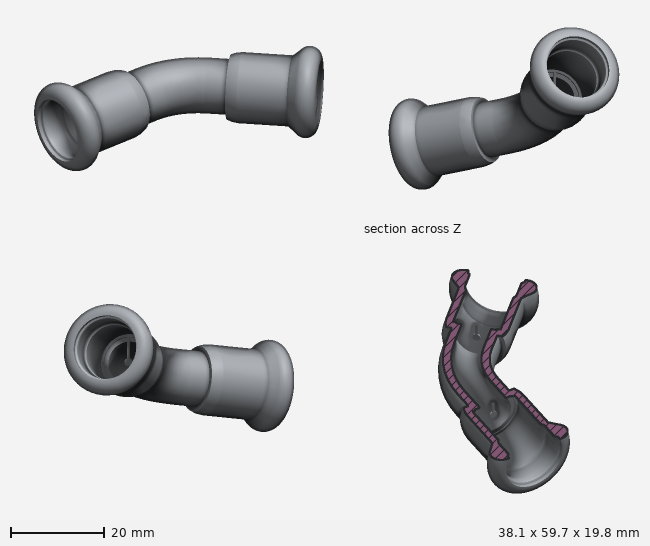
import cadquery as cq
import math

BEND_ANGLE = 45.0
BEND_RADIUS = 17.8
LEG_LENGTH = 24.1

TUBE_RADIUS = 12.0 / 2
TUBE_BORE_RADIUS = 9.0 / 2

BEAD_TUBE_RADIUS = 2.55
BEAD_RADIUS = 19.8 / 2
BEAD_ROUND_END = 4.2
BEAD_END = 6.2
BODY_RADIUS = 15.3 / 2
BODY_STRAIGHT_END = 17.0
SOCKET_LENGTH = 19.5
SOCKET_TIP_RADIUS = 7.05

MOUTH_RADIUS = 14.0 / 2
MOUTH_DEPTH = 0.9
LIP_RADIUS = 6.6
LIP_DEPTH = 1.15
ENTRY_RADIUS = 13.0 / 2
ENTRY_START = 1.8
ENTRY_END = 5.4
PIPE_BORE_RADIUS = 12.2 / 2
PIPE_BORE_START = 6.3
PIPE_STOP_DEPTH = 17.3
RECESS_RADIUS = 11.0 / 2
RECESS_DEPTH = 0.3

MARKER_DISC_RADIUS = 0.865
MARKER_STEM_WIDTH = 0.6
MARKER_THICKNESS = RECESS_DEPTH

RECESS_END = PIPE_STOP_DEPTH + RECESS_DEPTH


def tangent_arc_middle(radius_start, radius_end, depth_start, depth_end):
    """Middle of an arc that leaves radius_start parallel to the axis."""
    drop = radius_start - radius_end
    length = depth_end - depth_start
    arc_radius = (length**2 + drop**2) / (2 * drop)
    half_angle = math.asin(length / arc_radius) / 2
    return (
        radius_start - arc_radius * (1 - math.cos(half_angle)),
        depth_start + arc_radius * math.sin(half_angle),
    )


def revolve_about_y(profile):
    return profile.close().revolve(360, (0, 0, 0), (0, 1, 0))


def make_socket_exterior():
    bead_center_radius = BEAD_RADIUS - BEAD_TUBE_RADIUS
    bead_end_offset = BEAD_ROUND_END - BEAD_TUBE_RADIUS
    bead_end_radius = bead_center_radius + math.sqrt(BEAD_TUBE_RADIUS**2 - bead_end_offset**2)
    tip_middle = tangent_arc_middle(BODY_RADIUS, SOCKET_TIP_RADIUS, BODY_STRAIGHT_END, SOCKET_LENGTH)
    profile = (
        cq.Workplane("XY")
        .lineTo(bead_center_radius, 0)
        .threePointArc((BEAD_RADIUS, BEAD_TUBE_RADIUS), (bead_end_radius, BEAD_ROUND_END))
        .lineTo(BODY_RADIUS, BEAD_END)
        .lineTo(BODY_RADIUS, BODY_STRAIGHT_END)
        .threePointArc(tip_middle, (SOCKET_TIP_RADIUS, SOCKET_LENGTH))
        .lineTo(0, SOCKET_LENGTH)
    )
    return revolve_about_y(profile)


def make_socket_cavity():
    """Stepped cavity: mouth, rounded lip, entry, pipe bore and marker recess."""
    lip_slope_middle = (
        ENTRY_RADIUS + (LIP_RADIUS - ENTRY_RADIUS) / 4,
        (LIP_DEPTH + ENTRY_START) / 2,
    )
    profile = (
        cq.Workplane("XY")
        .lineTo(MOUTH_RADIUS, 0)
        .lineTo(MOUTH_RADIUS, MOUTH_DEPTH)
        .lineTo(LIP_RADIUS, LIP_DEPTH)
        .threePointArc(lip_slope_middle, (ENTRY_RADIUS, ENTRY_START))
        .lineTo(ENTRY_RADIUS, ENTRY_END)
        .threePointArc(
            tangent_arc_middle(ENTRY_RADIUS, PIPE_BORE_RADIUS, ENTRY_END, PIPE_BORE_START),
            (PIPE_BORE_RADIUS, PIPE_BORE_START),
        )
        .lineTo(PIPE_BORE_RADIUS, PIPE_STOP_DEPTH)
        .lineTo(RECESS_RADIUS, PIPE_STOP_DEPTH)
        .lineTo(RECESS_RADIUS, RECESS_END)
        .lineTo(0, RECESS_END)
    )
    return revolve_about_y(profile)


def make_marker():
    """Disc and stem lying in the recess, with the stem pointing up to the wall."""
    recess_plane = cq.Workplane("XZ", origin=(0, RECESS_END, 0))
    disc = recess_plane.circle(MARKER_DISC_RADIUS).extrude(MARKER_THICKNESS)
    stem = (
        recess_plane.center(0, RECESS_RADIUS / 2)
        .rect(MARKER_STEM_WIDTH, RECESS_RADIUS)
        .extrude(MARKER_THICKNESS)
    )
    recess_space = recess_plane.circle(RECESS_RADIUS).extrude(MARKER_THICKNESS)
    return disc.union(stem).intersect(recess_space).solids()


def place_at_far_end(body):
    """Turn a body of the first socket into its place on the second socket."""
    angle = math.radians(BEND_ANGLE)
    mouth_x = BEND_RADIUS * (1 - math.cos(angle)) + LEG_LENGTH * math.sin(angle)
    mouth_y = LEG_LENGTH + BEND_RADIUS * math.sin(angle) + LEG_LENGTH * math.cos(angle)
    turned = body.rotate((0, 0, 0), (0, 0, 1), 180 - BEND_ANGLE)
    return turned.translate((mouth_x, mouth_y, 0))


def make_leg(radius):
    """Straight cylinder from the recess floor to the start of the bend."""
    start = cq.Workplane("XZ", origin=(0, RECESS_END, 0))
    return start.circle(radius).extrude(-(LEG_LENGTH - RECESS_END))


def make_bend(radius):
    """Torus sector; its axis is vertical, so it runs along the local Y of the start plane."""
    axis_start = (BEND_RADIUS, 0, 0)
    axis_end = (BEND_RADIUS, 0.6, 0)
    start = cq.Workplane("XZ", origin=(0, LEG_LENGTH, 0))
    return start.circle(radius).revolve(BEND_ANGLE, axis_end, axis_start)


def make_bent_rod(radius):
    leg = make_leg(radius)
    return leg.union(make_bend(radius)).union(place_at_far_end(leg))


def make_elbow():
    exterior = make_socket_exterior()
    cavity = make_socket_cavity()
    elbow = make_bent_rod(TUBE_RADIUS).union(exterior).union(place_at_far_end(exterior))
    elbow = elbow.cut(cavity).cut(place_at_far_end(cavity))
    return elbow.cut(make_bent_rod(TUBE_BORE_RADIUS)).solids()


elbow = make_elbow()
near_marker = make_marker()
markers = [near_marker, place_at_far_end(near_marker)]

result = cq.Compound.makeCompound([elbow.val(), *[marker.val() for marker in markers]])